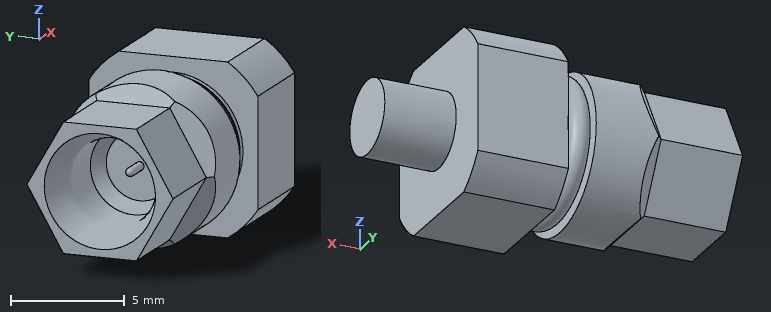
import cadquery as cq
import math

total_length = 16.63
hex_end = 3.97
collar_end = 7.27
flange_start = 8.43
block_start = 8.75
block_end = 13.15

hex_flats = 5.99
collar_radius = 3.75
ring_outer_radius = 3.51
ring_tube_radius = 0.5
neck_radius = 2.56
flange_radius = 3.3
block_side = 8.0
block_flat = 5.15
tail_radius = 1.8

mouth_radius = 2.63
step_radius = 2.08
bore_radius = 2.03
floor_radius = 1.58
mouth_depth = 1.5
step_depth = 1.73
bore_depth = 3.99
socket_depth = 4.75
pin_radius = 0.2
pin_length = 1.33


def yz_plane(x):
    return cq.Workplane("YZ", origin=(x, 0, 0))


def cylinder(x_start, x_end, radius):
    return yz_plane(x_start).circle(radius).extrude(x_end - x_start)


def corners_across(flats_across):
    """Corner-to-corner width of a hexagon with the given width across its flats."""
    return flats_across / math.cos(math.pi / 6)


def hexagon(x, across_flats):
    """Hexagon with two corners on the horizontal centre plane, towards +Y and -Y."""
    return yz_plane(x).polygon(6, corners_across(across_flats))


def make_collar():
    """Round collar whose front is cut by six 45 degree facets rising from the hexagon."""
    collar_length = collar_end - hex_end
    wide_flats = hex_flats + 2 * collar_length
    facets = (
        hexagon(hex_end, hex_flats)
        .workplane(offset=collar_length)
        .polygon(6, corners_across(wide_flats))
        .loft(ruled=True)
    )
    return cylinder(hex_end, collar_end, collar_radius).intersect(facets)


def make_sealing_ring():
    """Round-section ring seated against the back of the collar."""
    ring_x = collar_end + ring_tube_radius
    ring_y = ring_outer_radius - ring_tube_radius
    section = cq.Workplane("XY").center(ring_x, ring_y).circle(ring_tube_radius)
    return section.revolve(360, (-ring_x, -ring_y), (0.17 - ring_x, -ring_y))


def make_block():
    """Square block with its corners turned to a common circle."""
    block_length = block_end - block_start
    corner_radius = math.hypot(block_side / 2, block_flat / 2)
    square = yz_plane(block_start).rect(block_side, block_side).extrude(block_length)
    return square.intersect(cylinder(block_start, block_end, corner_radius))


def make_socket():
    """Flared mouth, slight step, straight bore and a taper down to a flat floor."""
    half_section = [
        (0, 0),
        (0, mouth_radius),
        (mouth_depth, step_radius),
        (step_depth, bore_radius),
        (bore_depth, bore_radius),
        (socket_depth, floor_radius),
        (socket_depth, 0),
    ]
    profile = cq.Workplane("XY").polyline(half_section).close()
    return profile.revolve(360, (0, 0), (1, 0))


def make_pin():
    """Centre pin standing on the socket floor, with a domed tip."""
    dome_x = socket_depth - pin_length + pin_radius
    dome = cq.Workplane("XY").sphere(pin_radius).translate((dome_x, 0, 0))
    return cylinder(dome_x, socket_depth + pin_radius, pin_radius).union(dome)


body = hexagon(0, hex_flats).extrude(hex_end)
body = body.union(make_collar())
body = body.union(cylinder(collar_end, flange_start, neck_radius))
body = body.union(make_sealing_ring())
body = body.union(cylinder(flange_start, block_start, flange_radius))
body = body.union(make_block())
body = body.union(cylinder(block_end, total_length, tail_radius))

result = body.cut(make_socket()).union(make_pin())